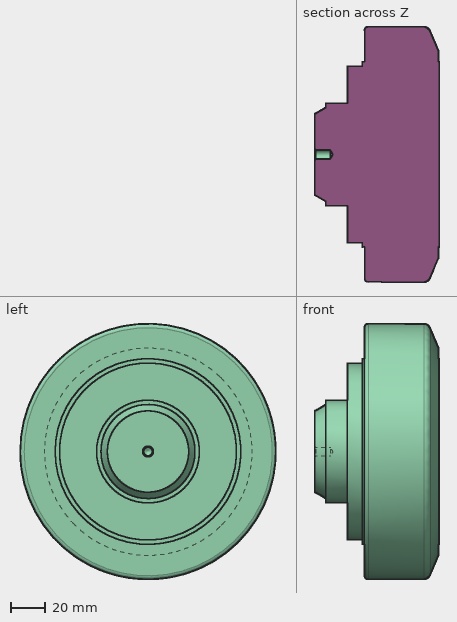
import cadquery as cq
import math

NOSE_LENGTH = 6.4
HUB_END = 19.0
FLANGE_END = 27.5
WHEEL_START = 28.9
WHEEL_END = 72.1
TOTAL_LENGTH = 72.5

NOSE_TIP_RADIUS = 23.7
NOSE_BASE_RADIUS = 27.4
HUB_RADIUS = 30.0
FLANGE_RADIUS = 51.5
FACE_PAD_RADIUS = 54.1
WHEEL_RADIUS = 74.5

FRONT_EDGE_FILLET = 2.2
BACK_EDGE_FILLET = 4.0
BEVEL_WIDTH = 6.0
BEVEL_ANGLE = 23.0

HOLE_RADIUS = 2.5
HOLE_DEPTH = 9.0
HOLE_CHAMFER = 0.6
DRILL_TIP_ANGLE = 118.0


def revolve_about_x(points):
    """Revolve a closed outline of (x, radius) points about the X axis."""
    return cq.Workplane("XY").polyline(points).close().revolve(360, (0, 0, 0), (1, 0, 0))


def disc(start, end, radius):
    """Cylinder on the X axis between two X positions."""
    return cq.Workplane("YZ").workplane(offset=start).circle(radius).extrude(end - start)


def make_wheel():
    """Wheel body with a rounded front edge and a rounded bevel at the back."""
    bevel_start = WHEEL_END - BEVEL_WIDTH
    bevel_end_radius = WHEEL_RADIUS - BEVEL_WIDTH / math.tan(math.radians(BEVEL_ANGLE))
    body = revolve_about_x([
        (WHEEL_START, 0),
        (WHEEL_START, WHEEL_RADIUS),
        (bevel_start, WHEEL_RADIUS),
        (WHEEL_END, bevel_end_radius),
        (WHEEL_END, 0),
    ])
    body = body.faces("<X").edges().fillet(FRONT_EDGE_FILLET)
    return body.faces("%CYLINDER").edges(">X").fillet(BACK_EDGE_FILLET)


def make_nose():
    """Tapered nose in front of the hub."""
    return revolve_about_x([
        (0, 0),
        (0, NOSE_TIP_RADIUS),
        (NOSE_LENGTH, NOSE_BASE_RADIUS),
        (NOSE_LENGTH, 0),
    ])


def make_centre_hole():
    """Blind drilled hole with a chamfered mouth and a conical bottom."""
    tip_length = HOLE_RADIUS / math.tan(math.radians(DRILL_TIP_ANGLE / 2))
    return revolve_about_x([
        (0, 0),
        (0, HOLE_RADIUS + HOLE_CHAMFER),
        (HOLE_CHAMFER, HOLE_RADIUS),
        (HOLE_DEPTH, HOLE_RADIUS),
        (HOLE_DEPTH + tip_length, 0),
    ])


hub = disc(NOSE_LENGTH, HUB_END, HUB_RADIUS)
flange = disc(HUB_END, FLANGE_END, FLANGE_RADIUS)
face_pads = disc(FLANGE_END, TOTAL_LENGTH, FACE_PAD_RADIUS)

result = (
    make_wheel()
    .union(face_pads)
    .union(flange)
    .union(hub)
    .union(make_nose())
    .cut(make_centre_hole())
)